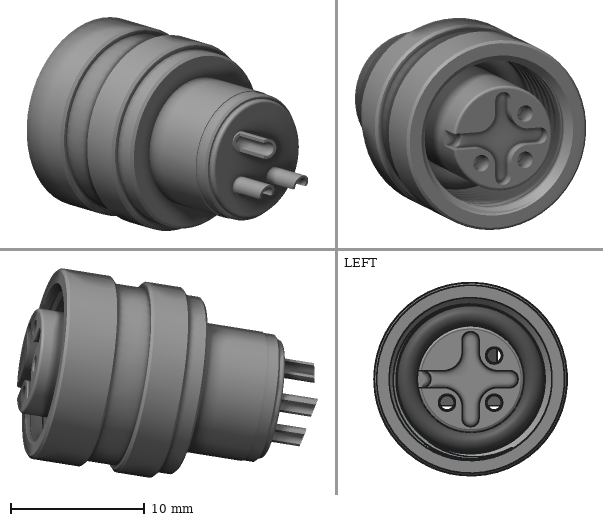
import cadquery as cq
import math

LENGTH = 21.8

NUT_FRONT = 1.2
NUT_REAR = 12.19
NUT_RADIUS = 7.24
NUT_WAIST_RADIUS = 6.74
NUT_EDGE = 0.2
FRONT_BAND_REAR = 5.2
REAR_BAND_FRONT = 7.7
REAR_BAND_REAR = 10.68
NUT_MOUTH_RADIUS = 6.1

THREAD_PITCH = 1.0
THREAD_MINOR_RADIUS = 5.58
THREAD_MAJOR_RADIUS = 6.0
THREAD_TURNS = 8
THREAD_LEAD_IN = 0.33
THREAD_CREST = 0.5
THREAD_ROOT = 0.05
THREAD_OVERCUT = 0.05

SHELL_RADIUS = 4.9
SHELL_TIP_FRONT = 17.15
SHELL_TIP_RADIUS = 4.85
SHELL_REAR = 18.22
SHELL_EDGE = 0.15
FLANGE_FRONT = 9.6
FLANGE_REAR = 10.9

INSERT_RADIUS = 4.0
INSERT_EDGE = 0.22
COLLAR_RADIUS = 4.51
COLLAR_REAR = 18.68
COLLAR_EDGE = 0.22

CROSS_DEPTH = 1.0
ARM_HALF_WIDTH = 0.63
ARM_REACH = 3.55
CROSS_CORNER_RADIUS = 1.4
KEYWAY_DEPTH = 2.0
KEYWAY_INNER_END = 2.99

RING_SECTION_RADIUS = 0.76

CONTACT_OFFSET = 1.77
CONTACT_RADIUS = 0.76
CONTACT_BORE_RADIUS = 0.55
CONTACT_FRONT = 2.0
ENTRY_RADIUS = 0.63
CUP_OPENING = 0.229
CUP_ROOT = 18.9
CUP_SLANT = 17.0
WEB_FRONT = 16.35
WEB_THICKNESS = 1.0
WEB_SLANT = 42.0

CONTACTS = [(1, -1, 0), (-1, -1, 0), (-1, 1, -90)]


def rod(x_start, x_end, radius):
    """Cylinder on the X axis."""
    return cq.Workplane("YZ", origin=(x_start, 0, 0)).circle(radius).extrude(x_end - x_start)


def band(x_start, x_end, radius):
    """Cylinder on the X axis with both ends chamfered."""
    return rod(x_start, x_end, radius).edges().chamfer(NUT_EDGE)


def thread_cutter():
    """Helical groove of trapezoid section, starting ahead of the nut's mouth."""
    inner_radius = THREAD_MINOR_RADIUS - THREAD_OVERCUT
    start = NUT_FRONT - THREAD_LEAD_IN
    depth = THREAD_MAJOR_RADIUS - inner_radius
    half_root = THREAD_ROOT / 2
    half_mouth = (THREAD_PITCH - THREAD_CREST) / 2
    helix = cq.Wire.makeHelix(
        THREAD_PITCH, THREAD_PITCH * THREAD_TURNS, inner_radius,
        center=cq.Vector(start, 0, 0), dir=cq.Vector(1, 0, 0),
    )
    first_point = helix.startPoint()
    outward = cq.Vector(0, first_point.y, first_point.z).normalized()
    section_plane = cq.Plane(
        origin=first_point, xDir=(1, 0, 0), normal=cq.Vector(1, 0, 0).cross(outward),
    )
    return (
        cq.Workplane(section_plane)
        .polyline([
            (-half_mouth, 0), (half_mouth, 0),
            (half_root, depth), (-half_root, depth),
        ])
        .close()
        .sweep(cq.Workplane(obj=helix), isFrenet=True)
    )


def make_nut():
    body = rod(NUT_FRONT + NUT_EDGE, NUT_REAR, NUT_WAIST_RADIUS).faces(">X").chamfer(NUT_EDGE)
    body = body.union(band(NUT_FRONT, FRONT_BAND_REAR, NUT_RADIUS))
    body = body.union(band(REAR_BAND_FRONT, REAR_BAND_REAR, NUT_RADIUS))
    mouth_depth = NUT_MOUTH_RADIUS - THREAD_MINOR_RADIUS
    bore = (
        cq.Workplane("XY")
        .polyline([
            (NUT_FRONT, 0), (NUT_FRONT, NUT_MOUTH_RADIUS),
            (NUT_FRONT + mouth_depth, THREAD_MINOR_RADIUS), (FLANGE_REAR, THREAD_MINOR_RADIUS),
            (FLANGE_REAR, SHELL_RADIUS), (NUT_REAR, SHELL_RADIUS), (NUT_REAR, 0),
        ])
        .close()
        .revolve(360, (0, 0, 0), (1, 0, 0))
    )
    return body.cut(bore).cut(thread_cutter())


def make_shell():
    flange = rod(FLANGE_FRONT, FLANGE_REAR, THREAD_MINOR_RADIUS)
    barrel = rod(FLANGE_REAR, SHELL_TIP_FRONT, SHELL_RADIUS)
    tip = rod(SHELL_TIP_FRONT, SHELL_REAR, SHELL_TIP_RADIUS).faces(">X").chamfer(SHELL_EDGE)
    return flange.union(barrel).union(tip).cut(rod(FLANGE_FRONT, SHELL_REAR, INSERT_RADIUS))


def make_ring():
    centre_radius = INSERT_RADIUS + RING_SECTION_RADIUS
    return cq.Workplane(obj=cq.Solid.makeTorus(
        centre_radius, RING_SECTION_RADIUS,
        cq.Vector(FLANGE_FRONT - RING_SECTION_RADIUS, 0, 0), cq.Vector(1, 0, 0),
    ))


def open_channel(y_start, depth):
    """Channel as wide as a cross arm, from y_start out through the +Y rim."""
    return cq.Workplane("XY").box(
        depth, INSERT_RADIUS, 2 * ARM_HALF_WIDTH, centered=(False, False, True),
    ).translate((0, y_start, 0))


def cross_recess():
    """Four-armed recess with rounded inner corners and round arm ends; the +Y arm runs out to the rim."""
    straight = ARM_REACH - ARM_HALF_WIDTH
    face = cq.Workplane("YZ")
    arms = face.rect(2 * straight, 2 * ARM_HALF_WIDTH).extrude(CROSS_DEPTH)
    arms = arms.union(face.rect(2 * ARM_HALF_WIDTH, 2 * straight).extrude(CROSS_DEPTH))
    inner_corners = cq.selectors.BoxSelector(
        (0, -2 * ARM_HALF_WIDTH, -2 * ARM_HALF_WIDTH),
        (CROSS_DEPTH, 2 * ARM_HALF_WIDTH, 2 * ARM_HALF_WIDTH),
    )
    arms = arms.edges("|X").edges(inner_corners).fillet(CROSS_CORNER_RADIUS)
    ends = face.polarArray(straight, 0, 360, 4).circle(ARM_HALF_WIDTH).extrude(CROSS_DEPTH)
    return arms.union(ends).union(open_channel(straight, CROSS_DEPTH))


def keyway():
    """Slot in the +Y side of the insert, round at its inner end and open at the rim."""
    arc_centre = KEYWAY_INNER_END + ARM_HALF_WIDTH
    face = cq.Workplane("YZ")
    round_end = face.center(arc_centre, 0).circle(ARM_HALF_WIDTH).extrude(KEYWAY_DEPTH)
    return open_channel(arc_centre, KEYWAY_DEPTH).union(round_end)


def make_insert():
    body = rod(0, COLLAR_REAR, INSERT_RADIUS).faces("<X").edges().fillet(INSERT_EDGE)
    collar = rod(SHELL_REAR, COLLAR_REAR, COLLAR_RADIUS).faces(">X").edges().fillet(COLLAR_EDGE)
    body = body.union(collar).cut(cross_recess()).cut(keyway())
    for y_side, z_side, _ in CONTACTS:
        place = cq.Vector(0, y_side * CONTACT_OFFSET, z_side * CONTACT_OFFSET)
        body = body.cut(rod(0, CONTACT_FRONT, ENTRY_RADIUS).translate(place))
        body = body.cut(rod(CONTACT_FRONT, COLLAR_REAR, CONTACT_RADIUS).translate(place))
    return body


def slanted_block(x_start, x_end, z_bottom, z_top, z_level, slant=CUP_SLANT):
    """Block whose ends lean by slant and whose X limits are measured at height z_level."""
    lean = math.tan(math.radians(slant))
    below = (z_bottom - z_level) * lean
    above = (z_top - z_level) * lean
    return (
        cq.Workplane("XZ")
        .polyline([
            (x_start + below, z_bottom), (x_end + below, z_bottom),
            (x_end + above, z_top), (x_start + above, z_top),
        ])
        .close()
        .extrude(CONTACT_RADIUS, both=True)
    )


def make_contact(y_side, z_side, turn):
    """Socket contact whose rear end is a solder cup."""
    tube = rod(CONTACT_FRONT, LENGTH, CONTACT_RADIUS)
    tube = tube.cut(rod(CONTACT_FRONT, LENGTH, CONTACT_BORE_RADIUS))
    web = slanted_block(
        WEB_FRONT, WEB_FRONT + WEB_THICKNESS, -CUP_OPENING, CONTACT_RADIUS, -CUP_OPENING, WEB_SLANT,
    ).intersect(rod(CONTACT_FRONT, LENGTH, CONTACT_RADIUS))
    opening = slanted_block(CUP_ROOT, 2 * LENGTH, -CONTACT_RADIUS, -CUP_OPENING, -CUP_OPENING)
    end_cut = slanted_block(LENGTH, 2 * LENGTH, -CONTACT_RADIUS, CONTACT_RADIUS, CONTACT_RADIUS)
    contact = tube.union(web).cut(opening).cut(end_cut)
    return (
        contact.rotate((0, 0, 0), (1, 0, 0), turn)
        .translate((0, y_side * CONTACT_OFFSET, z_side * CONTACT_OFFSET))
    )


nut = make_nut()
shell = make_shell()
ring = make_ring()
insert = make_insert()
contacts = [make_contact(*spec) for spec in CONTACTS]

result = cq.Compound.makeCompound([
    nut.val(), shell.val(), ring.val(), insert.val(), *[contact.val() for contact in contacts],
])